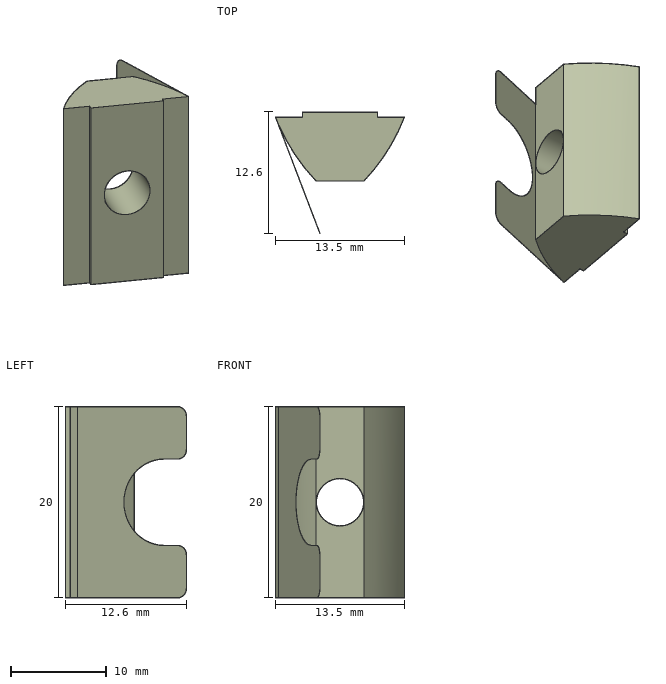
import cadquery as cq
import math

length = 20.0
shoulder_width = 13.5
nose_width = 5.0
block_depth = 6.7
flank_radius = 20.4
tongue_width = 7.85
tongue_height = 0.5
hole_diameter = 4.92

leaf_length = 13.0
leaf_thickness = 0.02
leaf_angle = 20.9
leaf_corner_radius = 1.0
notch_width = 9.0
notch_start = 6.0


def make_block():
    shoulder = shoulder_width / 2
    nose = nose_width / 2
    body = (
        cq.Workplane("XY")
        .workplane(offset=-length / 2)
        .moveTo(-shoulder, 0)
        .lineTo(shoulder, 0)
        .radiusArc((nose, -block_depth), flank_radius)
        .lineTo(-nose, -block_depth)
        .radiusArc((-shoulder, 0), flank_radius)
        .close()
        .extrude(length)
    )
    tongue = cq.Workplane("XY").box(tongue_width, 2 * tongue_height, length)
    hole = (
        cq.Workplane("XZ")
        .circle(hole_diameter / 2)
        .extrude(block_depth + tongue_height, both=True)
    )
    return body.union(tongue).cut(hole)


def make_leaf():
    slant = math.radians(leaf_angle)
    leaf_plane = cq.Plane(
        origin=(-shoulder_width / 2, 0, 0),
        xDir=(math.sin(slant), -math.cos(slant), 0),
        normal=(math.cos(slant), math.sin(slant), 0),
    )
    notch_radius = notch_width / 2
    notch_centre = notch_start + notch_radius
    sheet = (
        cq.Workplane(leaf_plane)
        .moveTo(leaf_length, -notch_radius)
        .lineTo(notch_centre, -notch_radius)
        .threePointArc((notch_start, 0), (notch_centre, notch_radius))
        .lineTo(leaf_length, notch_radius)
        .lineTo(leaf_length, length / 2)
        .lineTo(0, length / 2)
        .lineTo(0, -length / 2)
        .lineTo(leaf_length, -length / 2)
        .close()
        .extrude(leaf_thickness)
    )
    free_end = cq.selectors.BoxSelector(
        (-shoulder_width, -leaf_length, -length),
        (shoulder_width, -notch_centre, length),
    )
    across_thickness = cq.selectors.ParallelDirSelector(leaf_plane.zDir)
    return sheet.edges(across_thickness).edges(free_end).fillet(leaf_corner_radius)


result = make_block().union(make_leaf())